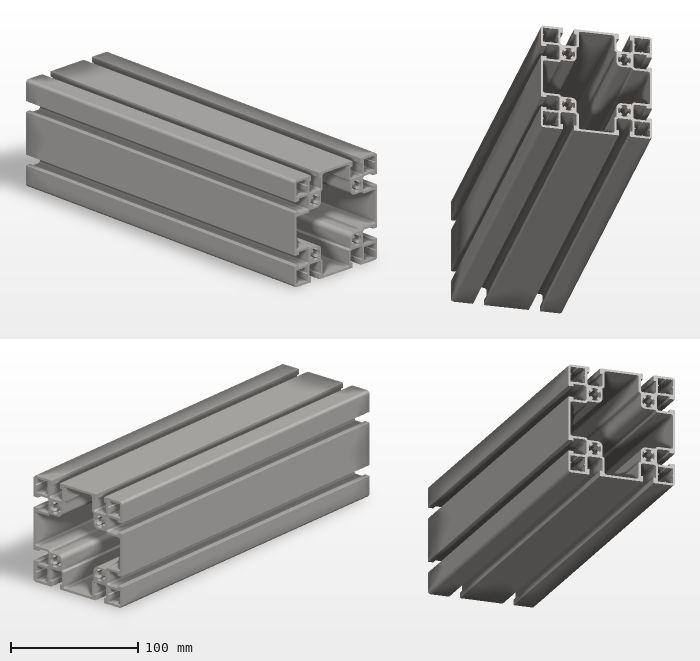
import cadquery as cq

length = 304.8
side = 90.0
wall = 1.8
slot_spacing = 45.0
slot_opening = 8.8
slot_width = 12.8
lip_depth = 4.5
lip_radius = 0.3
slot_depth = 15.2
corner_radius = 2.5
channel_radius = 1.5

gusset = 1.2
core_radius = 4.0
bore_radius = 5.2
rib_tip_radius = 3.5
rib_width = 2.5

ridge_height = 1.0
ridge_width = 1.2

half_side = side / 2
slot_centre = slot_spacing / 2
opening_outer = slot_centre + slot_opening / 2
opening_inner = slot_centre - slot_opening / 2
slot_outer = slot_centre + slot_width / 2
slot_inner = slot_centre - slot_width / 2
slot_floor = half_side - slot_depth
lip_back = half_side - lip_depth
channel_half = slot_inner - wall


QUARTER_TURNS = (0, 90, 180, 270)


def turned(shape, angle):
    """Shape rotated about the X axis."""
    return shape.rotate((0, 0, 0), (1, 0, 0), angle)


def mirrored_pair(shape):
    """The shape together with its mirror image about the diagonal plane Y = Z."""
    return shape.union(turned(shape.mirror("XY"), 90))


def bar(y_min, y_max, z_min, z_max):
    """Full-length rectangular bar with the given cross-section."""
    return cq.Workplane("XY").box(length, y_max - y_min, z_max - z_min).translate(
        (0, (y_min + y_max) / 2, (z_min + z_max) / 2)
    )


def prism(points):
    """Full-length bar whose cross-section is the polygon through (y, z) points."""
    return cq.Workplane("YZ").polyline(points).close().extrude(length / 2, both=True)


def corner_tube():
    """Square tube at the +Y +Z corner, with the outer lips of its two slots."""
    tube = bar(slot_outer, half_side, slot_outer, half_side)
    lip = bar(opening_outer, half_side, lip_back, half_side)
    lip = lip.edges("|X and <Y").fillet(lip_radius)
    tube = tube.union(mirrored_pair(lip))
    tube = tube.edges("|X and >Y and >Z").fillet(corner_radius)
    cavity_min = slot_outer + wall
    cavity_max = half_side - wall
    tube = tube.cut(bar(cavity_min, cavity_max, cavity_min, cavity_max))

    middle = (cavity_min + cavity_max) / 2
    face_offset = (cavity_max - cavity_min) / 2
    ridge = prism(
        [
            (-face_offset - wall / 2, -ridge_width / 2),
            (-face_offset, -ridge_width / 2),
            (-face_offset + ridge_height, 0),
            (-face_offset, ridge_width / 2),
            (-face_offset - wall / 2, ridge_width / 2),
        ]
    )
    for angle in QUARTER_TURNS:
        tube = tube.union(turned(ridge, angle).translate((0, middle, middle)))
    return tube


def screw_core():
    """Block behind the crossing of two slots, with a four-lobed screw bore."""
    block = bar(slot_inner, slot_floor, slot_inner, slot_floor)
    block = block.edges("|X and <Y and <Z").fillet(core_radius)
    bore = cq.Workplane("YZ").circle(bore_radius).extrude(length / 2, both=True)
    rib_reach = 2 * bore_radius
    rib = bar(rib_tip_radius, rib_reach, -rib_width / 2, rib_width / 2)
    for angle in QUARTER_TURNS:
        bore = bore.cut(turned(rib, angle + 45))
    return block.cut(bore.translate((0, slot_centre, slot_centre)))


def wide_channel():
    """U-shaped channel at the middle of the +Z face, with the inner lips of its two slots."""
    channel = bar(-slot_inner, slot_inner, slot_floor, half_side)
    lips = bar(-opening_inner, opening_inner, lip_back, half_side)
    lips = lips.edges("|X").fillet(lip_radius)
    channel = channel.union(lips)
    cavity = bar(-channel_half, channel_half, 0, half_side - wall)
    cavity = cavity.edges("|X and >Z").fillet(channel_radius)
    return channel.cut(cavity)


def slot_floor_gussets():
    """Webs in both floor corners of the +Z slot, tying the core to the channel and the tube."""
    channel_web = prism(
        [
            (channel_half, slot_floor),
            (slot_inner, slot_floor - gusset),
            (slot_inner + gusset, slot_floor),
            (slot_inner, slot_floor + gusset),
            (channel_half, slot_floor + gusset),
        ]
    )
    tube_web = prism(
        [
            (slot_outer - gusset, slot_floor),
            (slot_floor, slot_floor),
            (slot_outer, slot_floor + gusset),
        ]
    )
    return channel_web.union(tube_web)


sector = corner_tube().union(screw_core()).union(wide_channel())
sector = sector.union(mirrored_pair(slot_floor_gussets()))
result = sector
for angle in QUARTER_TURNS[1:]:
    result = result.union(turned(sector, angle))